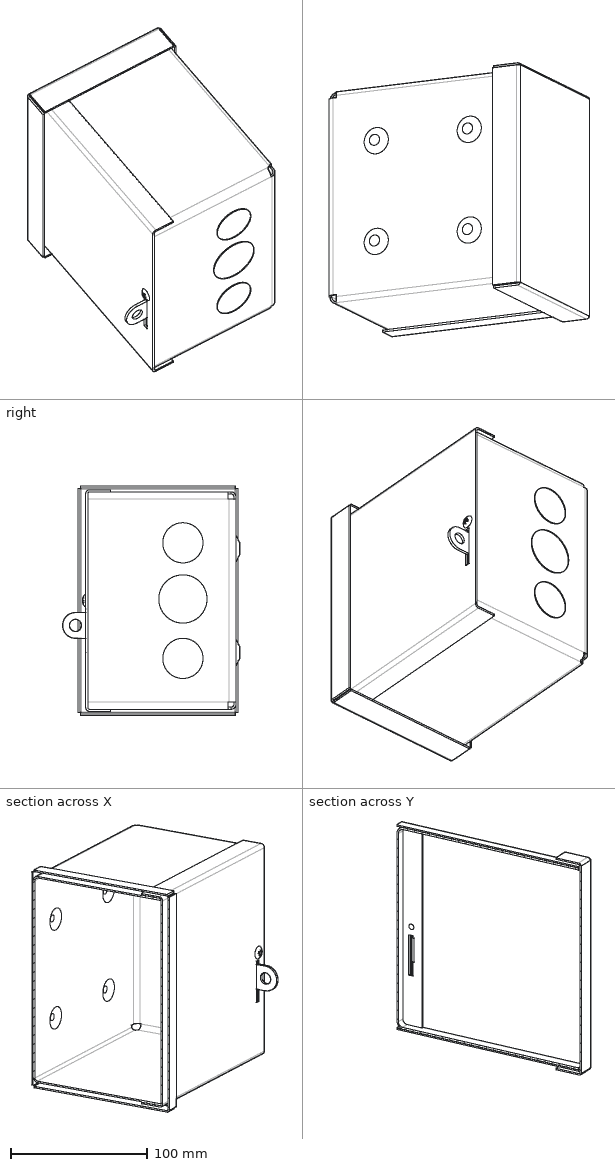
import cadquery as cq
import math


sheet = 1.52

cap_height = 168.28
cap_width = 117.48
cap_depth = 22.0
cap_bend = 2.5
cap_front = -5.75
cap_back = cap_front + cap_width
cap_flange_setback = 1.9

box_left = cap_bend
box_right = 158.75
cover_height = 162.5
cover_lap = 18.2
cover_bend = 2.8

housing_height = cover_height - 2 * sheet
housing_front = sheet
housing_back = cap_back - sheet
back_bend = 3.6
side_bend = 5.2
return_width = 18.0

relief_diameter = 4.19
relief_inset = 3.7
relief_slant = 2.4

dimple_pitch = 76.2
dimple_first_x = 41.8
dimple_height = 2.95
dimple_base_diameter = 19.8
dimple_top_diameter = 8.3

knockout_rise = 0.77
knockout_y = 71.3
small_knockout_diameter = 29.5
large_knockout_diameter = 35.4
small_knockout_z = 42.4
large_knockout_z = 1.2

hasp_left = 147.6
hasp_thickness = 2.1
hasp_radius = 9.525
hasp_reach = 17.0
hasp_z = -18.2
hasp_hole_diameter = 8.73
slot_width = 3.7
slot_length = 31.75
slot_top = -6.2
return_slot_shift_x = 0.9
return_slot_shift_z = -0.8

screw_x = 149.9
head_diameter = 9.53
head_height = 2.5
shank_diameter = 4.17
recess_span = 4.4
recess_width = 1.4
recess_depth = 1.2
recess_turn = 20


def block(x_range, y_range, z_range):
    """Box between two limits on each axis."""
    x0, x1 = x_range
    y0, y1 = y_range
    z0, z1 = z_range
    solid = cq.Workplane("XY").box(x1 - x0, y1 - y0, z1 - z0, centered=False)
    return solid.translate((x0, y0, z0))


def centred(length):
    """Limits of a length centred on zero."""
    return (-length / 2, length / 2)


def y_cylinder(diameter, x, z, y_start, y_end):
    """Cylinder along Y."""
    plane = cq.Workplane("XZ", origin=(x, y_start, z))
    return plane.circle(diameter / 2).extrude(y_start - y_end)


def end_cap():
    """Flat plate with four bent flanges; neighbouring flanges stay apart at the corners."""
    y_range = (cap_front + cap_flange_setback, cap_back - cap_flange_setback)
    tall = block((0, cap_depth), y_range, centred(cap_height)).edges("<X and |Y").fillet(cap_bend)
    tall_inside = block((sheet, cap_depth), y_range, centred(cap_height - 2 * sheet))
    tall_inside = tall_inside.edges("<X and |Y").fillet(cap_bend - sheet)
    z_range = centred(cap_height - 2 * cap_flange_setback)
    wide = block((0, cap_depth), (cap_front, cap_back), z_range).edges("<X and |Z").fillet(cap_bend)
    wide_inside = block((sheet, cap_depth), (cap_front + sheet, cap_back - sheet), z_range)
    wide_inside = wide_inside.edges("<X and |Z").fillet(cap_bend - sheet)
    return tall.cut(tall_inside).union(wide.cut(wide_inside))


def slot_cutter(y_start):
    """Upright slot through one sheet that starts at the given Y."""
    x_range = (hasp_left, hasp_left + slot_width)
    return block(x_range, (y_start, y_start + sheet), (slot_top - slot_length, slot_top))


def cover():
    """Front plate with bent top and bottom flanges, a hasp slot and a screw hole."""
    body = block((box_left, box_right), (0, cover_lap), centred(cover_height))
    body = body.edges("<Y and |X").fillet(cover_bend)
    inside = block((box_left, box_right), (sheet, cover_lap), centred(housing_height))
    inside = inside.edges("<Y and |X").fillet(cover_bend - sheet)
    screw_hole = y_cylinder(shank_diameter, screw_x, 0, 0, sheet)
    return body.cut(inside).cut(slot_cutter(0)).cut(screw_hole)


def rounded_box(offset):
    """Housing envelope, offset inwards, with a different bend radius along each pair of walls."""
    x_range = (box_left, box_right - offset)
    y_range = (housing_front, housing_back - offset)
    z_range = centred(housing_height - 2 * offset)
    along_x = block(x_range, y_range, z_range).edges(">Y and |X").fillet(back_bend - offset)
    along_y = block(x_range, y_range, z_range).edges(">X and |Y").fillet(side_bend - offset)
    along_z = block(x_range, y_range, z_range).edges(">X and >Y").fillet(side_bend - offset)
    front_bends = block(x_range, y_range, z_range).edges("<Y and |X").fillet(cover_bend - sheet)
    return along_x.intersect(along_y).intersect(along_z).intersect(front_bends)


def corner_relief():
    """Cutter that opens the back right corner of the top and bottom walls."""
    centre_x = box_right - relief_inset
    centre_y = housing_back - relief_inset
    radius = relief_diameter / 2
    diagonal = radius * math.sqrt(0.5)
    notch = (
        cq.Workplane("XY")
        .moveTo(centre_x - radius - relief_slant, housing_back)
        .lineTo(centre_x - radius, centre_y)
        .threePointArc((centre_x - diagonal, centre_y - diagonal), (centre_x, centre_y - radius))
        .lineTo(box_right, centre_y - radius)
        .lineTo(box_right, housing_back)
        .close()
        .extrude(side_bend)
        .translate((0, 0, housing_height / 2 - side_bend))
    )
    return notch.union(notch.mirror("XY"))


def dimple_cone(inset):
    """Truncated cone standing on the back wall, offset forwards by the inset."""
    base = cq.Workplane("XZ", origin=(0, housing_back - inset, 0))
    base = base.circle(dimple_base_diameter / 2 - inset)
    return base.workplane(offset=-dimple_height).circle(dimple_top_diameter / 2 - inset).loft()


def knockout(z, diameter):
    """Disc standing on the right wall."""
    plane = cq.Workplane("YZ", origin=(box_right, knockout_y, z))
    return plane.circle(diameter / 2).extrude(knockout_rise)


def housing():
    """Tray of back, top, bottom and right walls, with a return flange behind the cover."""
    inside = rounded_box(sheet)
    flange_layer = (housing_front, housing_front + sheet)
    inside = inside.cut(block((box_left, box_right), flange_layer, centred(housing_height)))
    front_opening = block(
        (box_left, box_right - return_width), flange_layer, centred(housing_height - 2 * sheet)
    )
    body = rounded_box(0).cut(inside).cut(front_opening).cut(corner_relief())
    for x in (dimple_first_x, dimple_first_x + dimple_pitch):
        for z in centred(dimple_pitch):
            body = body.union(dimple_cone(0).translate((x, 0, z)))
            body = body.cut(dimple_cone(sheet).translate((x, 0, z)))
    body = body.union(knockout(large_knockout_z, large_knockout_diameter))
    for z in (small_knockout_z, -small_knockout_z):
        body = body.union(knockout(z, small_knockout_diameter))
    screw_hole = y_cylinder(shank_diameter, screw_x, 0, housing_front, housing_front + sheet)
    slot = slot_cutter(housing_front).translate((return_slot_shift_x, 0, return_slot_shift_z))
    return body.cut(screw_hole).cut(slot).cut(hasp())


def hasp():
    """Padlock plate with a round end and a hole; its root sits in the return flange."""
    round_y = hasp_radius - hasp_reach
    root_y = housing_front + sheet
    plane = cq.Workplane("YZ", origin=(hasp_left, 0, hasp_z))
    plate = (
        plane.moveTo(root_y, hasp_radius)
        .lineTo(round_y, hasp_radius)
        .threePointArc((-hasp_reach, 0), (round_y, -hasp_radius))
        .lineTo(root_y, -hasp_radius)
        .close()
        .extrude(hasp_thickness)
    )
    hole = plane.center(round_y, 0).circle(hasp_hole_diameter / 2).extrude(hasp_thickness)
    return plate.cut(hole)


def screw():
    """Domed screw with a cross recess, fastening the cover to the return flange."""
    head_radius = head_diameter / 2
    dome_radius = (head_radius**2 + head_height**2) / (2 * head_height)
    dome = cq.Workplane("XY").sphere(dome_radius).translate((screw_x, dome_radius - head_height, 0))
    front_space = block(
        (screw_x - head_diameter, screw_x + head_diameter), (-head_height, 0), centred(2 * head_diameter)
    )
    shank = y_cylinder(shank_diameter, screw_x, 0, 0, housing_front + sheet)
    body = dome.intersect(front_space).union(shank)
    for x_size, z_size in ((recess_span, recess_width), (recess_width, recess_span)):
        left, right = centred(x_size)
        x_range = (screw_x + left, screw_x + right)
        recess = block(x_range, (-head_height, recess_depth - head_height), centred(z_size))
        recess = recess.rotate((screw_x, 0, 0), (screw_x, 1, 0), recess_turn)
        body = body.cut(recess)
    return body


result = cq.Compound.makeCompound(
    [end_cap().val(), cover().val(), housing().val(), hasp().val(), screw().val()]
)